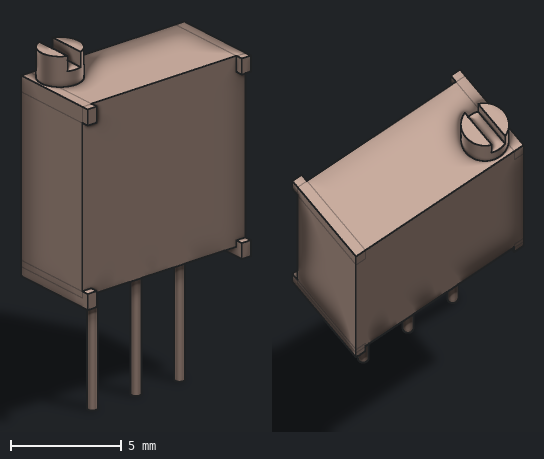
import cadquery as cq

body_depth = 4.45
body_width = 9.53
body_height = 9.53

rail_length = 4.84
rail_width = 0.54
rail_height = 0.8
foot_drop = 0.48

pin_diameter = 0.5
pin_length = 6.86
pin_pitch = 2.55
pin_x = rail_length / 2

screw_diameter = 2.19
screw_height = 1.52
screw_x = 1.27
screw_y = 1.25
slot_width = 0.75
slot_depth = screw_height / 2


def make_rail(y_min, z_min):
    """Square-ended rail along X, flush with the -X face of the block."""
    rail = cq.Workplane("XY").box(rail_length, rail_width, rail_height, centered=False)
    return rail.translate((0, y_min, z_min))


def make_pin(y_center):
    """Round terminal hanging from the bottom face of the block."""
    pin = cq.Workplane("XY").circle(pin_diameter / 2).extrude(-pin_length)
    return pin.translate((pin_x, y_center, 0))


def make_housing():
    """Block with its rails and pins; clean=False keeps the rail outlines on the flush faces."""
    housing = cq.Workplane("XY").box(body_depth, body_width, body_height, centered=False)
    for y_min in (0, body_width - rail_width):
        for z_min in (-foot_drop, body_height - rail_height):
            housing = housing.union(make_rail(y_min, z_min), clean=False)
    for step in (-1, 0, 1):
        housing = housing.union(make_pin(body_width / 2 + step * pin_pitch), clean=False)
    return housing


def make_screw():
    """Cylindrical head standing on the top face, with a driver slot along X."""
    head = cq.Workplane("XY").circle(screw_diameter / 2).extrude(screw_height)
    slot = (
        cq.Workplane("XY")
        .box(screw_diameter, slot_width, slot_depth, centered=(True, True, False))
        .translate((0, 0, screw_height - slot_depth))
    )
    return head.cut(slot).translate((screw_x, screw_y, body_height))


housing = make_housing()
screw = make_screw()

result = cq.Compound.makeCompound([housing.solids().val(), screw.solids().val()])